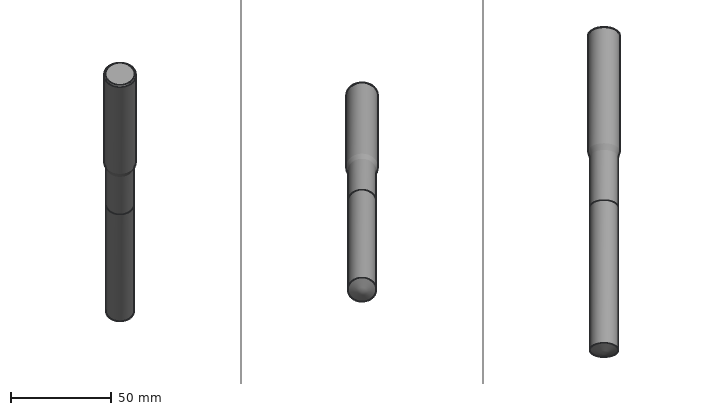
import cadquery as cq
import math

overall_length = 185.0
cutting_length = 85.0
shank_diameter = 16.0
drill_diameter = 14.2
point_angle = 140.0
grip_length = 67.7
end_chamfer = 0.8
shoulder_half_angle = 15.0

shank_radius = shank_diameter / 2
drill_radius = drill_diameter / 2
point_height = drill_radius / math.tan(math.radians(point_angle / 2))
shoulder_length = (shank_radius - drill_radius) / math.tan(math.radians(shoulder_half_angle))
shoulder_top = overall_length - grip_length
shoulder_bottom = shoulder_top - shoulder_length


def revolve_about_z(profile):
    """Turn a closed (radius, height) profile into a solid of revolution about Z."""
    return cq.Workplane("XZ").polyline(profile).close().revolve(360, (0, 0), (0, 1))


def make_shank():
    """Chamfered grip that tapers down to a neck of the drill's diameter."""
    return revolve_about_z([
        (0, cutting_length),
        (drill_radius, cutting_length),
        (drill_radius, shoulder_bottom),
        (shank_radius, shoulder_top),
        (shank_radius, overall_length - end_chamfer),
        (shank_radius - end_chamfer, overall_length),
        (0, overall_length),
    ])


def make_cutting_part():
    """Plain cylinder with a conical drill point, butting against the neck."""
    return revolve_about_z([
        (0, 0),
        (drill_radius, point_height),
        (drill_radius, cutting_length),
        (0, cutting_length),
    ])


shank = make_shank()
cutting_part = make_cutting_part()

result = cq.Compound.makeCompound([shank.val(), cutting_part.val()])